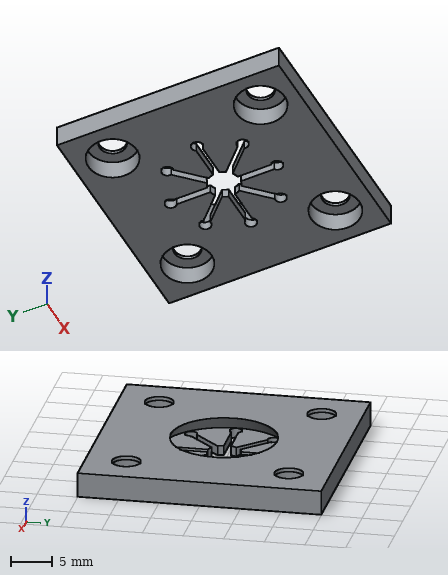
import cadquery as cq

plate_side = 30.0
plate_thickness = 3.07

hole_spacing = 20.0
hole_diameter = 3.5
counterbore_diameter = 6.5
counterbore_roof = .47

mouth_diameter = 13.06
recess_floor_diameter = 16.1
floor_thickness = 1.22

centre_hole_diameter = 4.2
slot_count = 8
slot_width = .85
relief_diameter = 1.5
relief_radius = 7.2


def cylinder(diameter, bottom, top):
    """Upright cylinder on the Z axis between two heights."""
    return cq.Workplane("XY").workplane(offset=bottom).circle(diameter / 2).extrude(top - bottom)


def corner_holes():
    """Four through holes with their counterbores below."""
    hole = cylinder(hole_diameter, 0, plate_thickness)
    counterbore = cylinder(counterbore_diameter, 0, plate_thickness - counterbore_roof)
    stepped_hole = hole.union(counterbore).val()
    corners = cq.Workplane("XY").rect(hole_spacing, hole_spacing, forConstruction=True).vertices()
    return corners.eachpoint(lambda place: stepped_hole.moved(place))


def dovetail_recess():
    """Cone frustum between the recess floor and the narrower mouth."""
    frustum = cq.Workplane("XY").workplane(offset=floor_thickness).circle(recess_floor_diameter / 2)
    frustum = frustum.workplane(offset=plate_thickness - floor_thickness).circle(mouth_diameter / 2)
    return frustum.loft(ruled=True)


def floor_slots():
    """Centre hole and radial slots through the recess floor."""
    cut = cylinder(centre_hole_diameter, 0, floor_thickness)
    slot = cq.Workplane("XY").rect(relief_radius, slot_width).extrude(floor_thickness)
    slot = slot.translate((relief_radius / 2, 0, 0))
    relief = cylinder(relief_diameter, 0, floor_thickness).translate((relief_radius, 0, 0))
    keyhole = slot.union(relief)
    for index in range(slot_count):
        angle = index * 360 / slot_count
        cut = cut.union(keyhole.rotate((0, 0, 0), (0, 0, 1), angle))
    return cut


plate = cq.Workplane("XY").rect(plate_side, plate_side).extrude(plate_thickness)
result = plate.cut(corner_holes()).cut(dovetail_recess()).cut(floor_slots())